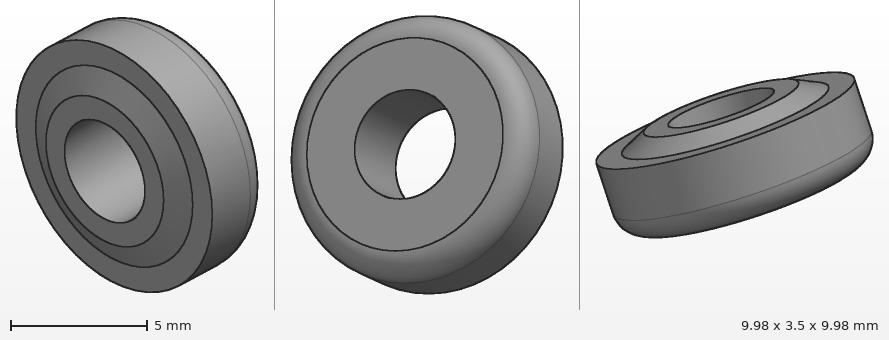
import cadquery as cq

outer_diameter = 9.98
ring_length = 3.0
back_rounding = 1.0
bore_diameter = 4.09
insert_diameter = 7.98
nose_diameter = 5.99
nose_length = 0.5

ring_front_y = -ring_length / 2
ring_back_y = ring_front_y + ring_length
nose_y = ring_front_y - nose_length


def cylinder_along_y(diameter, start_y, length):
    """Solid cylinder running toward +Y from start_y."""
    base = cq.Workplane("XZ", origin=(0, start_y, 0))
    return base.circle(diameter / 2).extrude(-length)


def make_ring():
    """Outer ring with a rounded back edge and a through hole for the insert."""
    blank = cylinder_along_y(outer_diameter, ring_front_y, ring_length)
    rounded = blank.faces(">Y").edges().fillet(back_rounding)
    return rounded.cut(cylinder_along_y(insert_diameter, ring_front_y, ring_length))


def make_insert():
    """Bored bushing that fills the ring and ends in a conical nose toward -Y."""
    half_section = (
        cq.Workplane("XY")
        .moveTo(bore_diameter / 2, nose_y)
        .lineTo(nose_diameter / 2, nose_y)
        .lineTo(insert_diameter / 2, ring_front_y)
        .lineTo(insert_diameter / 2, ring_back_y)
        .lineTo(bore_diameter / 2, ring_back_y)
        .close()
    )
    return half_section.revolve(360, (0, 0, 0), (0, 1, 0))


ring = make_ring()
insert = make_insert()
result = cq.Compound.makeCompound([ring.val(), insert.val()])